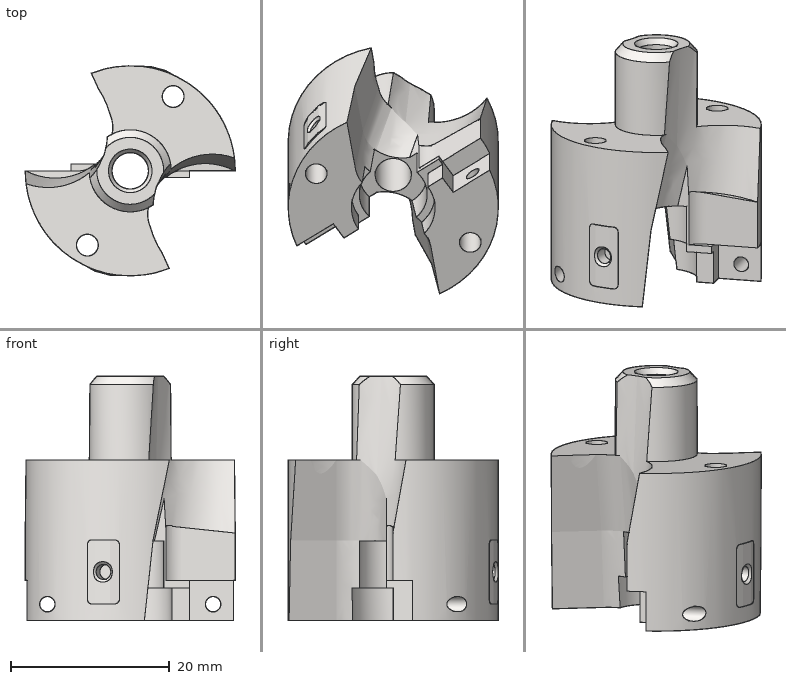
import cadquery as cq
import math

total_height = 30.8
body_radius = 13.25
body_height = 20.25
shank_radius = 5.18
shank_chamfer_height = 1.05
shank_chamfer_width = 0.95

entry_bore_radius = 5.27
entry_bore_depth = 4.13
pilot_bore_radius = 4.28
pilot_bore_depth = 10.05
through_bore_radius = 2.28
through_bore_chamfer_width = 0.45
through_bore_chamfer_height = 0.77

axial_hole_radius = 1.35
axial_hole_circle = 10.8
axial_hole_angle = 60.0

twist_rate = 0.779
flute_reach = 18.5

trailing_knee = (2.55, -7.12)
trailing_rim = (4.07, -10.4)
trailing_rim_bulge = (3.2, -8.87)
web_hollow = (2.3, -4.8)
web_crease = (3.33, -1.95)
leading_bulge = (7.98, 1.75)
leading_rim = (13.1, 1.63)
leading_runout = (flute_reach, -0.62)
trailing_runout = (7.73, -flute_reach)

trailing_shift_shoulder = 2.35
trailing_shift_bottom = 3.5
trailing_hollow = (2.22, -5.7)
trailing_inner = (2.45, -3.97)
trailing_web_middle = (3.85, -1.9)
trailing_web_end_x = 5.4

seat_plane_inner_z = 11.95
seat_plane_outer_z = 11.03
seat_inner_x = 4.5
seat_flat_x = 6.45
seat_step_y = -0.85
seat_cut_depth_y = -9.25

tip_pocket_height = 5.05
tip_pocket_x = 7.5
tip_pocket_y = 2.4
tip_hole_radius = 0.95
tip_hole_x = 10.45
tip_hole_z = 2.05

pad_angle = -15.0
pad_half_width = 2.1
pad_flat_half_width = 1.0
pad_edge_distance = 13.1
pad_flat_distance = 13.37
pad_root_distance = 11.7
pad_bottom_z = 2.1
pad_top_z = 10.17
pad_corner_radius = 0.62
screw_hole_radius = 0.95
screw_hole_depth = 2.15
screw_hole_chamfer = 0.35


def both_lobes(shape):
    """Return the shape together with its copy half a turn about Z."""
    return [shape, shape.rotate((0, 0, 0), (0, 0, 1), 180)]


def make_blank():
    body = cq.Workplane("XY").circle(body_radius).extrude(body_height)
    shank_shoulder_z = total_height - shank_chamfer_height
    shank = (
        cq.Workplane("XZ")
        .moveTo(0, 0)
        .lineTo(shank_radius, 0)
        .lineTo(shank_radius, shank_shoulder_z)
        .lineTo(shank_radius - shank_chamfer_width, total_height)
        .lineTo(0, total_height)
        .close()
        .revolve(360, (0, 0, 0), (0, 1, 0))
    )
    return body.union(shank)


def make_bore():
    mouth_radius = through_bore_radius + through_bore_chamfer_width
    return (
        cq.Workplane("XZ")
        .moveTo(0, 0)
        .lineTo(entry_bore_radius, 0)
        .lineTo(entry_bore_radius, entry_bore_depth)
        .lineTo(pilot_bore_radius, entry_bore_depth)
        .lineTo(pilot_bore_radius, pilot_bore_depth)
        .lineTo(through_bore_radius, pilot_bore_depth)
        .lineTo(through_bore_radius, total_height - through_bore_chamfer_height)
        .lineTo(mouth_radius, total_height)
        .lineTo(0, total_height)
        .close()
        .revolve(360, (0, 0, 0), (0, 1, 0))
    )


def make_twisted_flute():
    """Flute swept up a helix; its outline is the section at the top of the body."""
    start_angle = -twist_rate * (body_height - pilot_bore_depth)
    length = total_height - pilot_bore_depth
    flute = (
        cq.Workplane("XY")
        .moveTo(*trailing_rim)
        .threePointArc(trailing_rim_bulge, trailing_knee)
        .threePointArc(web_hollow, web_crease)
        .threePointArc(leading_bulge, leading_rim)
        .lineTo(*leading_runout)
        .lineTo(flute_reach, -flute_reach)
        .lineTo(*trailing_runout)
        .close()
        .twistExtrude(length, twist_rate * length)
        .rotate((0, 0, 0), (0, 0, 1), start_angle)
        .translate((0, 0, pilot_bore_depth))
    )
    seat_slope = (seat_plane_outer_z - seat_plane_inner_z) / (body_radius - seat_inner_x)
    reach_z = seat_plane_inner_z + seat_slope * (flute_reach - seat_inner_x)
    lobe_below_seat_plane = (
        cq.Workplane("XZ")
        .moveTo(seat_inner_x, 0)
        .lineTo(flute_reach, 0)
        .lineTo(flute_reach, reach_z)
        .lineTo(seat_inner_x, seat_plane_inner_z)
        .close()
        .extrude(-flute_reach)
        .translate((0, seat_step_y, 0))
    )
    return flute.cut(lobe_below_seat_plane)


def trailing_section(z, shift):
    """Wire round the space behind a trailing face, from the rim through the web to the seat step.

    The profile is the one at the top of the body, moved back along X by the shift.
    """
    return (
        cq.Workplane("XY", origin=(-shift, 0, z))
        .moveTo(*trailing_runout)
        .lineTo(*trailing_knee)
        .threePointArc(trailing_hollow, trailing_inner)
        .threePointArc(trailing_web_middle, (trailing_web_end_x, seat_step_y))
        .lineTo(flute_reach + shift, seat_step_y)
        .lineTo(flute_reach + shift, -flute_reach)
        .close()
        .val()
    )


def make_trailing_cuts():
    """Two ruled stretches that lean the trailing face back, meeting at the bore shoulder."""
    bottom = trailing_section(0, trailing_shift_bottom)
    shoulder = trailing_section(pilot_bore_depth, trailing_shift_shoulder)
    top = trailing_section(body_height, 0)
    lower = cq.Solid.makeLoft([bottom, shoulder], True)
    upper = cq.Solid.makeLoft([shoulder, top], True)
    return [cq.Workplane(lower), cq.Workplane(upper)]


def make_seat_cut():
    """Space in front of the blade seat, with a round running from the flat down to the web."""
    height = seat_plane_inner_z - tip_pocket_height
    run = seat_flat_x - seat_inner_x
    round_radius = (run**2 + seat_step_y**2) / (2 * abs(seat_step_y))
    half_sweep = math.asin(run / round_radius) / 2
    round_middle = (
        seat_flat_x - round_radius * math.sin(half_sweep),
        -round_radius * (1 - math.cos(half_sweep)),
    )
    return (
        cq.Workplane("XY", origin=(0, 0, tip_pocket_height))
        .moveTo(seat_inner_x, seat_step_y)
        .threePointArc(round_middle, (seat_flat_x, 0))
        .lineTo(flute_reach, 0)
        .lineTo(flute_reach, seat_cut_depth_y)
        .lineTo(seat_inner_x, seat_cut_depth_y)
        .close()
        .extrude(height)
    )


def box_between(low, high):
    size = [b - a for a, b in zip(low, high)]
    return cq.Workplane("XY").box(*size, centered=False).translate(low)


def make_tip_cuts():
    """Tip pocket, the space below the lip beside it and the cross hole through the tip."""
    pocket = box_between(
        (tip_pocket_x, seat_cut_depth_y, 0), (flute_reach, tip_pocket_y, tip_pocket_height)
    )
    below_lip = box_between(
        (seat_inner_x, seat_cut_depth_y, 0), (tip_pocket_x, 0, entry_bore_depth)
    )
    hole = (
        cq.Workplane("XZ")
        .center(tip_hole_x, tip_hole_z)
        .circle(tip_hole_radius)
        .extrude(-body_radius)
    )
    return [pocket, below_lip, hole]


def make_axial_hole():
    angle = math.radians(axial_hole_angle)
    x = axial_hole_circle * math.cos(angle)
    y = axial_hole_circle * math.sin(angle)
    return cq.Workplane("XY").center(x, y).circle(axial_hole_radius).extrude(body_height)


def place_pad(shape):
    """Turn a shape built facing -Y to the pad's place round the lobe."""
    return shape.rotate((0, 0, 0), (0, 0, 1), pad_angle)


def make_pad():
    pad = (
        cq.Workplane("XY", origin=(0, 0, pad_bottom_z))
        .moveTo(-pad_half_width, -pad_root_distance)
        .lineTo(-pad_half_width, -pad_edge_distance)
        .lineTo(-pad_flat_half_width, -pad_flat_distance)
        .lineTo(pad_flat_half_width, -pad_flat_distance)
        .lineTo(pad_half_width, -pad_edge_distance)
        .lineTo(pad_half_width, -pad_root_distance)
        .close()
        .extrude(pad_top_z - pad_bottom_z)
    )
    pad_outline = (
        cq.Workplane("XZ")
        .center(0, (pad_bottom_z + pad_top_z) / 2)
        .rect(2 * pad_half_width, pad_top_z - pad_bottom_z)
        .extrude(flute_reach)
        .edges("|Y")
        .fillet(pad_corner_radius)
    )
    return place_pad(pad.intersect(pad_outline))


def make_screw_hole():
    """Blind hole square to the pad's flat, with a countersunk mouth."""
    z = (pad_bottom_z + pad_top_z) / 2
    mouth = cq.Solid.makeCone(
        screw_hole_radius + screw_hole_chamfer,
        screw_hole_radius,
        screw_hole_chamfer,
        cq.Vector(0, -pad_flat_distance, z),
        cq.Vector(0, 1, 0),
    )
    bore = cq.Solid.makeCylinder(
        screw_hole_radius,
        screw_hole_depth,
        cq.Vector(0, -pad_flat_distance, z),
        cq.Vector(0, 1, 0),
    )
    return place_pad(cq.Workplane(mouth).union(cq.Workplane(bore)))


result = make_blank()
for pad in both_lobes(make_pad()):
    result = result.union(pad)

lobe_cuts = [make_twisted_flute(), make_seat_cut(), make_axial_hole(), make_screw_hole()]
lobe_cuts += make_trailing_cuts() + make_tip_cuts()
for lobe_cut in lobe_cuts:
    for cutter in both_lobes(lobe_cut):
        result = result.cut(cutter)

result = result.cut(make_bore())